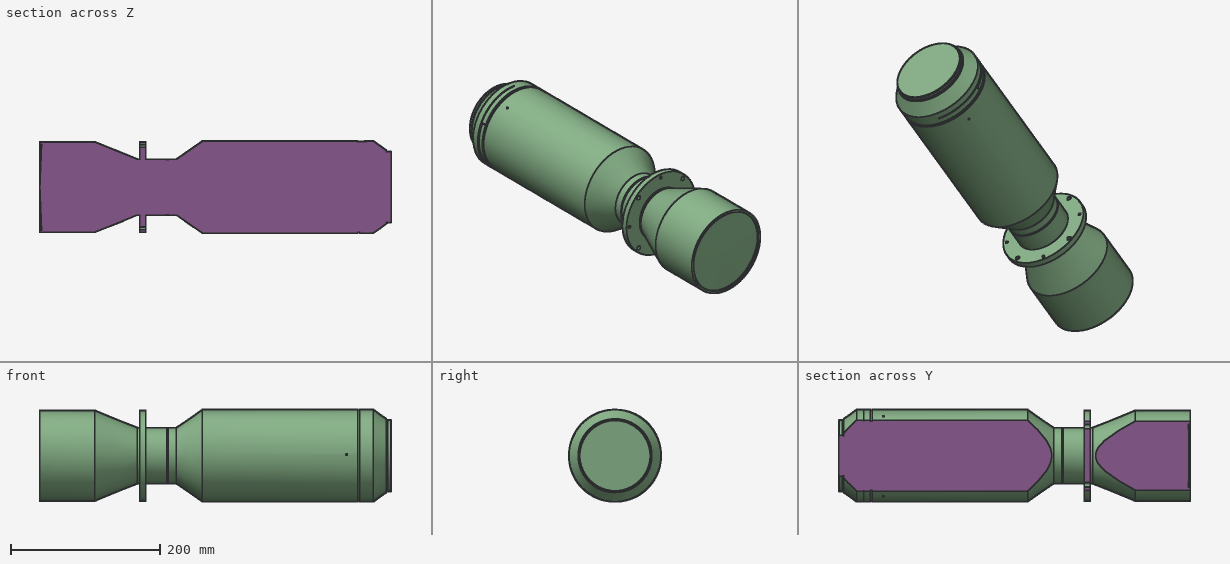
import cadquery as cq
import math

total_length = 472.0
body_diameter = 124.0
body_radius = body_diameter / 2
cutter_margin = 4.5

nose_radius = 61.0
nose_length = 74.0
nose_cone_end = 131.2
face_recess_radius = 57.5
face_recess_depth = 2.5

neck_radius = 38.0
neck_end = 183.5
neck_groove_x = 171.0
neck_groove_width = 1.5
neck_groove_depth = 0.5

flange_radius = nose_radius
flange_start = 134.0
flange_thickness = 8.5
hole_circle_radius = 55.2
holes_per_set = 4
large_hole_diameter = 5.5
small_hole_diameter = 3.5

body_start = 218.5
body_end = 448.0
body_groove_x = 427.3
body_groove_width = 2.5
body_groove_depth = 1.0

tail_cone_end = 467.5
lip_radius = 48.0
lip_chamfer = 1.0
tail_groove_x = 465.5
tail_groove_width = 1.5
tail_groove_depth = 0.5

latch_depth = 0.5
latch_recess_start = body_groove_x + body_groove_width
latch_recess_length = 6.5
latch_half_angle = 26.0
slit_x = 438.0
slit_width = 0.5
slit_overrun = 2.5

screw_count = 3
screw_x = 412.0
screw_diameter = 2.0
screw_depth = 2.5
screw_angle_offset = -1.5


def turned_body():
    """Outer shape, with a shallow cone inside the recess of the -X face whose tip is level with the rim."""
    outline = [
        (0, 0),
        (face_recess_depth, face_recess_radius),
        (0, face_recess_radius),
        (0, nose_radius),
        (nose_length, nose_radius),
        (nose_cone_end, neck_radius),
        (neck_end, neck_radius),
        (body_start, body_radius),
        (body_end, body_radius),
        (tail_cone_end, lip_radius),
        (total_length - lip_chamfer, lip_radius),
        (total_length, lip_radius - lip_chamfer),
        (total_length, 0),
    ]
    return cq.Workplane("XY").polyline(outline).close().revolve(360, (0, 0, 0), (1, 0, 0))


def ring(start, width, outer_radius, inner_radius):
    """Ring around the X axis that begins at the given station."""
    return (
        cq.Workplane("YZ", origin=(start, 0, 0))
        .circle(outer_radius)
        .circle(inner_radius)
        .extrude(width)
    )


def groove(start, width, surface_radius, depth):
    """Cutter for a groove of the given depth; it reaches past the surface."""
    return ring(start, width, surface_radius + cutter_margin, surface_radius - depth)


def flange_holes(diameter, first_angle):
    return (
        cq.Workplane("YZ", origin=(flange_start, 0, 0))
        .polarArray(hole_circle_radius, first_angle, 360, holes_per_set)
        .circle(diameter / 2)
        .extrude(flange_thickness)
    )


def flange():
    """Flange plate with large and small holes alternating on one circle."""
    plate = ring(flange_start, flange_thickness, flange_radius, neck_radius / 2)
    large_holes = flange_holes(large_hole_diameter, 180 / holes_per_set)
    small_holes = flange_holes(small_hole_diameter, 0)
    return plate.cut(large_holes).cut(small_holes)


def positive_y_block(start_y, height):
    """Block along the whole part, from start_y to beyond the +Y side, centred on Z."""
    block = cq.Workplane("XY").box(total_length, 2 * body_radius, height, centered=(False, False, True))
    return block.translate((0, start_y, 0))


def latch_slit():
    side = positive_y_block(-slit_overrun, 2 * (body_radius + cutter_margin))
    return groove(slit_x, slit_width, body_radius, latch_depth).intersect(side)


def latch_recess():
    height = 2 * body_radius * math.sin(math.radians(latch_half_angle))
    band = groove(latch_recess_start, latch_recess_length, body_radius, latch_depth)
    return band.intersect(positive_y_block(0, height))


def screw_hole(angle):
    """Cutter for one radial hole, turned about the X axis from the +Z direction."""
    return (
        cq.Workplane("XY", origin=(screw_x, 0, body_radius - screw_depth))
        .circle(screw_diameter / 2)
        .extrude(screw_depth + cutter_margin)
        .rotate((0, 0, 0), (1, 0, 0), angle)
    )


result = (
    turned_body()
    .union(flange())
    .cut(groove(neck_groove_x, neck_groove_width, neck_radius, neck_groove_depth))
    .cut(groove(body_groove_x, body_groove_width, body_radius, body_groove_depth))
    .cut(groove(tail_groove_x, tail_groove_width, lip_radius, tail_groove_depth))
    .cut(latch_slit())
    .cut(latch_recess())
)
for index in range(screw_count):
    result = result.cut(screw_hole(90 + screw_angle_offset + index * 360 / screw_count))

result = result.translate((-total_length / 2, 0, 0))